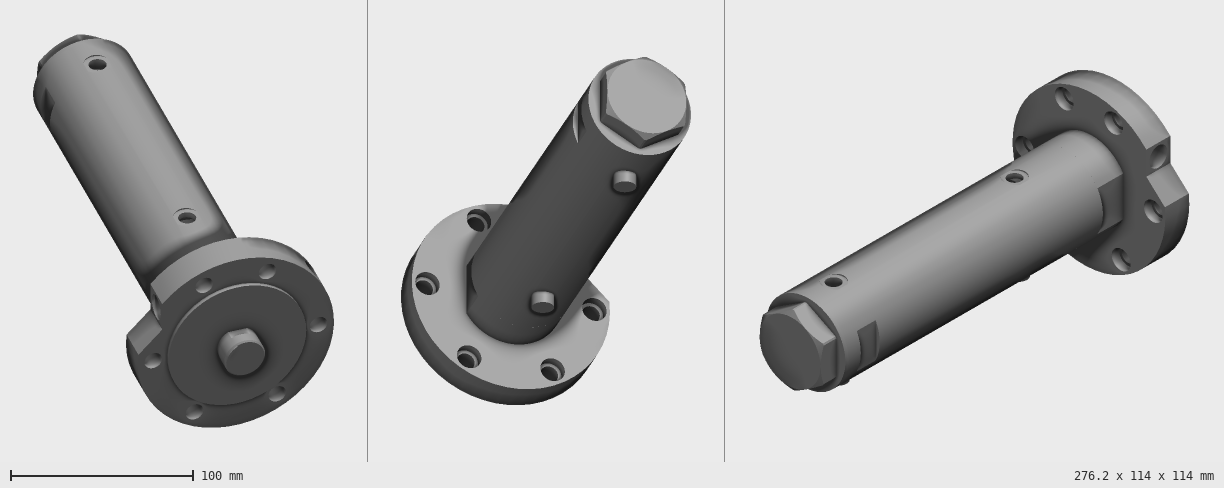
import cadquery as cq
import math


HEX_END = 12.7
COLLAR_END = 15.2
NECK_START = 220.0
FLANGE_START = 240.8
FLANGE_END = 260.2
RIM_END = 262.7
ROD_END = 276.2

TUBE_DIA = 59.0
BORE_DIA = 44.2
SOCKET_DIA = 50.8
SOCKET_START = 174.0
REAR_FLATS_START = 25.0
REAR_FLATS_LENGTH = 15.2
REAR_FLATS_WIDTH = 53.0

SPIGOT_START = 182.3
NECK_WIDTH = 51.0
FLANGE_DIA = 114.0
NOTCH_Y = -42.8
NOTCH_CORNER_Z = 20.2
BOLT_CIRCLE_DIA = 96.0
BOLT_HOLE_DIA = 10.2
BOLT_SINK_DIA = 14.0
BOLT_SINK_DEPTH = 6.0
BOLT_ANGLES = (0, 67.5, 112.5, 180, 240, 300)
CROSS_HOLE_DIA = 14.5
CROSS_HOLE_Z = 28.7

PORT_X = 35.0
PORT_SPACING = 145.8
PORT_DIA = 10.0
PORT_FACE_DIA = 15.7
PORT_FACE_Z = 28.7

STUD_X = 39.0
STUD_SPACING = 145.3
STUD_DIA = 12.5
STUD_BOTTOM_Z = -36.2

HEX_WIDTH = 45.5
HEX_CORNER_DIA = 52.0
HEX_FACE_DIA = 45.3
HEX_BEVEL = 2.5
PLUG_END = 26.2
NOSE_DIA = 38.0
NOSE_END = 38.0

GLAND_DIA = 48.0
RIM_DIA = 80.0

ROD_DIA = 28.2
TIP_DIA = 23.8
TIP_BEVEL = 0.8
TIP_FLATS_WIDTH = 21.0
TIP_FLATS_END = 268.5
LUG_HEIGHT = 0.8
LUG_ANGLE = 36.0
LUG_CHORD_DISTANCE = 9.7


def x_cylinder(diameter, start, end):
    """Cylinder on the common axis between two stations."""
    return cq.Workplane("YZ", origin=(start, 0, 0)).circle(diameter / 2).extrude(end - start)


def z_cylinder(diameter, x, bottom, top):
    """Upright cylinder that crosses the common axis at x."""
    return cq.Workplane("XY", origin=(x, 0, bottom)).circle(diameter / 2).extrude(top - bottom)


def x_slab(start, end, width_y, width_z):
    """Centred block between two stations."""
    return cq.Workplane("YZ", origin=(start, 0, 0)).rect(width_y, width_z).extrude(end - start)


def cut_flats(body, start, end, diameter, width):
    """Flatten the +Y and -Y sides of a round body down to a width between two stations."""
    sides = x_slab(start, end, diameter, diameter).cut(x_slab(start, end, width, diameter))
    return body.cut(sides)


def make_tube():
    """Round tube with wrench flats, two spot-faced ports on top and two round studs below."""
    tube = x_cylinder(TUBE_DIA, COLLAR_END, NECK_START)
    rear_flats_end = REAR_FLATS_START + REAR_FLATS_LENGTH
    tube = cut_flats(tube, REAR_FLATS_START, rear_flats_end, TUBE_DIA, REAR_FLATS_WIDTH)

    for x in (STUD_X, STUD_X + STUD_SPACING):
        tube = tube.union(z_cylinder(STUD_DIA, x, STUD_BOTTOM_Z, 0))
    tube = tube.cut(x_cylinder(BORE_DIA, COLLAR_END, NECK_START))
    tube = tube.cut(x_cylinder(SOCKET_DIA, SOCKET_START, NECK_START))

    for x in (PORT_X, PORT_X + PORT_SPACING):
        tube = tube.cut(z_cylinder(PORT_DIA, x, 0, TUBE_DIA / 2))
        tube = tube.cut(z_cylinder(PORT_FACE_DIA, x, PORT_FACE_Z, TUBE_DIA / 2))
    return tube


def make_flange():
    """Disc with an edge notch, six counterbored bolt holes and a cross hole."""
    flange = x_cylinder(FLANGE_DIA, FLANGE_START, FLANGE_END)

    radius = FLANGE_DIA / 2
    run = radius + NOTCH_Y
    notch = (
        cq.Workplane("YZ", origin=(FLANGE_START, 0, 0))
        .polyline([
            (NOTCH_Y, radius),
            (NOTCH_Y, NOTCH_CORNER_Z),
            (NOTCH_Y - run, NOTCH_CORNER_Z - run),
            (NOTCH_Y - run, radius),
        ])
        .close()
        .extrude(FLANGE_END - FLANGE_START)
    )
    flange = flange.cut(notch)

    sink_end = FLANGE_START + BOLT_SINK_DEPTH
    for angle in BOLT_ANGLES:
        y = BOLT_CIRCLE_DIA / 2 * math.cos(math.radians(angle))
        z = BOLT_CIRCLE_DIA / 2 * math.sin(math.radians(angle))
        hole = x_cylinder(BOLT_HOLE_DIA, FLANGE_START, FLANGE_END)
        hole = hole.union(x_cylinder(BOLT_SINK_DIA, FLANGE_START, sink_end))
        flange = flange.cut(hole.translate((0, y, z)))

    cross_hole_x = (FLANGE_START + FLANGE_END) / 2
    cross_hole = (
        cq.Workplane("XZ", origin=(cross_hole_x, 0, CROSS_HOLE_Z))
        .circle(CROSS_HOLE_DIA / 2)
        .extrude(radius, both=True)
    )
    return flange.cut(cross_hole)


def make_head():
    """Flange, flattened neck that continues the tube and spigot in it, bored for rod and gland."""
    neck = x_cylinder(TUBE_DIA, NECK_START, FLANGE_START)
    neck = cut_flats(neck, NECK_START, FLANGE_START, TUBE_DIA, NECK_WIDTH)
    head = neck.union(make_flange())
    head = head.union(x_cylinder(SOCKET_DIA, SPIGOT_START, NECK_START))
    head = head.cut(x_cylinder(ROD_DIA, SPIGOT_START, FLANGE_START))
    return head.cut(x_cylinder(GLAND_DIA, FLANGE_START, FLANGE_END))


def make_cap():
    """Hexagonal head and round collar outside the tube, plug and nose inside it."""
    hexagon = cq.Workplane("YZ").polygon(6, HEX_WIDTH, circumscribed=True).extrude(HEX_END)
    envelope = (
        cq.Workplane("XY")
        .polyline([
            (0, 0),
            (0, HEX_FACE_DIA / 2),
            (HEX_BEVEL, HEX_CORNER_DIA / 2),
            (HEX_END, HEX_CORNER_DIA / 2),
            (HEX_END, 0),
        ])
        .close()
        .revolve(360, (0, 0, 0), (1, 0, 0))
    )
    cap = hexagon.intersect(envelope)
    cap = cap.union(x_cylinder(TUBE_DIA, HEX_END, COLLAR_END))
    cap = cap.union(x_cylinder(BORE_DIA, COLLAR_END, PLUG_END))
    return cap.union(x_cylinder(NOSE_DIA, PLUG_END, NOSE_END))


def make_gland():
    """Sleeve between the flange and the rod, with a rim on the front of the flange."""
    gland = x_cylinder(GLAND_DIA, FLANGE_START, FLANGE_END)
    gland = gland.union(x_cylinder(RIM_DIA, FLANGE_END, RIM_END))
    gland = gland.cut(x_cylinder(ROD_DIA, FLANGE_START, FLANGE_END))
    return gland.cut(x_cylinder(TIP_DIA, FLANGE_END, RIM_END))


def make_lug(face_dia, start):
    """Circle segment on the end face of the rod, toward -Y and +Z."""
    beyond_chord = (
        cq.Workplane("XY")
        .box(LUG_HEIGHT, face_dia, face_dia, centered=(False, False, True))
        .translate((start, LUG_CHORD_DISTANCE, 0))
        .rotate((0, 0, 0), (1, 0, 0), 180 - LUG_ANGLE)
    )
    return x_cylinder(face_dia, start, ROD_END).intersect(beyond_chord)


def make_rod():
    """Shank inside the tube, head and gland, and a thinner tip with two flats and an end lug."""
    tip_face = ROD_END - LUG_HEIGHT
    tip = x_cylinder(TIP_DIA, FLANGE_END, tip_face).faces(">X").chamfer(TIP_BEVEL)
    flats = x_slab(RIM_END, TIP_FLATS_END, TIP_DIA, TIP_DIA)
    flats = flats.cut(x_slab(RIM_END, TIP_FLATS_END, TIP_DIA, TIP_FLATS_WIDTH))
    tip = tip.cut(flats)

    rod = x_cylinder(ROD_DIA, NOSE_END, FLANGE_END)
    return rod.union(tip).union(make_lug(TIP_DIA - 2 * TIP_BEVEL, tip_face))


tube = make_tube()
head = make_head()
cap = make_cap()
gland = make_gland()
rod = make_rod()

result = cq.Compound.makeCompound([
    tube.val(),
    head.val(),
    cap.val(),
    gland.val(),
    rod.val(),
])